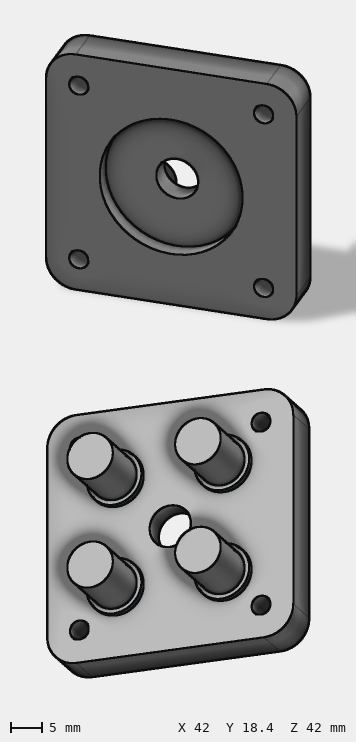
import cadquery as cq

plate_side = 42.0
plate_thickness = 7.0
corner_radius = 5.0

recess_diameter = 24.0
recess_depth = 3.0
bore_diameter = 7.0

mount_hole_spacing = 31.0
mount_hole_diameter = 3.2

overall_depth = 18.4
post_spacing = 18.4
post_diameter = 7.75
collar_diameter = 9.35
collar_height = 1.0
post_height = overall_depth - plate_thickness


def square_pattern(spacing):
    """Centres (X, Z) of four features on a square about the plate centre."""
    half = spacing / 2
    return [(x, z) for x in (-half, half) for z in (-half, half)]


def cylinders(centres, diameter, start_y, length):
    """Cylinders along +Y from start_y, one at each (X, Z) centre."""
    return (
        cq.Workplane("XZ", origin=(0, start_y, 0))
        .pushPoints(centres)
        .circle(diameter / 2)
        .extrude(-length)
    )


plate = (
    cq.Workplane("XZ")
    .rect(plate_side, plate_side)
    .extrude(-plate_thickness)
    .edges("|Y")
    .fillet(corner_radius)
)

centre = [(0, 0)]
recess = cylinders(centre, recess_diameter, 0, recess_depth)
bore = cylinders(centre, bore_diameter, 0, plate_thickness)
mount_holes = cylinders(square_pattern(mount_hole_spacing), mount_hole_diameter, 0, plate_thickness)

post_centres = square_pattern(post_spacing)
collars = cylinders(post_centres, collar_diameter, plate_thickness, collar_height)
posts = cylinders(post_centres, post_diameter, plate_thickness, post_height)

result = plate.cut(recess).cut(bore).cut(mount_holes).union(collars).union(posts)